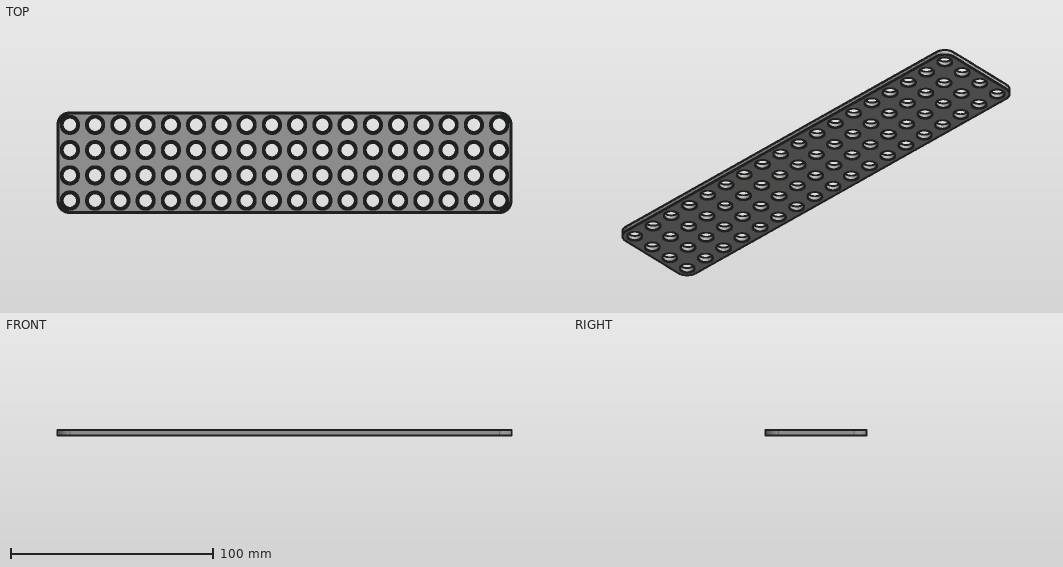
import cadquery as cq

columns = 18
rows = 4
pitch = 12.5
thickness = 3.12
corner_radius = pitch / 2
edge_chamfer = 0.3

hole_diameter = 7.0
hole_chamfer = 0.3

field_depth = 0.2
border_width = 0.8
collar_diameter = 9.2

length = columns * pitch
width = rows * pitch


def rounded_slab(inset, height):
    """Slab resting on Z = 0, with the plate outline moved inward by the inset."""
    slab = cq.Workplane("XY").box(
        length - 2 * inset,
        width - 2 * inset,
        height,
        centered=(True, True, False),
    )
    return slab.edges("|Z").fillet(corner_radius - inset)


def drill_grid(slab, diameter):
    """Drill a through hole at the centre of every grid cell."""
    top = slab.faces(">Z").workplane(origin=(0, 0))
    return top.rarray(pitch, pitch, columns, rows).hole(diameter)


def chamfer_hole_rims(plate):
    """Chamfer every hole on both faces."""
    faces = plate.faces("<Z or >Z").vals()
    rims = [edge for face in faces for wire in face.innerWires() for edge in wire.Edges()]
    return plate.newObject(rims).chamfer(hole_chamfer)


def perforated_plate():
    """Drilled plate with its outline and every hole chamfered on both faces."""
    plate = rounded_slab(0, thickness).faces("<Z or >Z").edges().chamfer(edge_chamfer)
    return chamfer_hole_rims(drill_grid(plate, hole_diameter))


def field_cutter():
    """Shallow layer below the top face, inside the border and clear of every collar."""
    layer = drill_grid(rounded_slab(border_width, field_depth), collar_diameter)
    return layer.translate((0, 0, thickness - field_depth))


result = perforated_plate().cut(field_cutter())